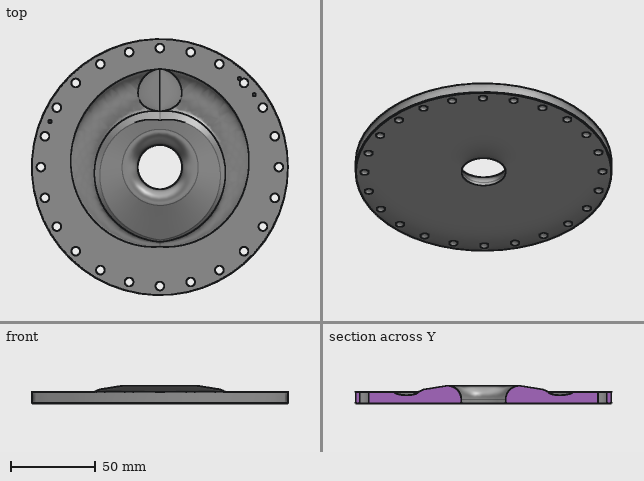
import cadquery as cq
import math

plate_diameter = 152.4
plate_thickness = 7.0
bottom_chamfer = 0.5

total_height = 10.7
bore_diameter = 26.2
lip_radius = 8.2
cone_angle = math.radians(9.1)
hub_base_radius = 48.8

bolt_circle_radius = 70.7
bolt_hole_diameter = 5.0
bolt_count = 24
pin_hole_diameter = 2.0
pin_hole_depth = 3
pin_hole_angles = (37.5, 48, 157.5)

crest_radii = (27.9, 43.1)
inner_radii = (33.0, 44.5)
outer_radii = (58.4, 47.4)
depth_to_half_width = 0.28
section_count = 9
cut_clearance = 1.5
flank_extension = 1.5

splitter_slope = 0.25
splitter_half_width = 13.7
splitter_start = 30.5
splitter_end = 61
splitter_base_height = 1.5

bore_radius = bore_diameter / 2
lip_center_radius = bore_radius + lip_radius
lip_center_height = total_height - lip_radius
cone_start_radius = lip_center_radius + lip_radius * math.sin(cone_angle)
cone_start_height = lip_center_height + lip_radius * math.cos(cone_angle)


def cone_height(radius):
    """Height of the hub cone at a distance from the axis."""
    return cone_start_height - (radius - cone_start_radius) * math.tan(cone_angle)


def make_body():
    """Plate and hub, with the lip arc tangent to the bore and to the cone."""
    plate = (
        cq.Workplane("XY")
        .circle(plate_diameter / 2)
        .circle(lip_center_radius)
        .extrude(plate_thickness)
        .faces("<Z")
        .edges(cq.selectors.RadiusNthSelector(-1))
        .chamfer(bottom_chamfer)
    )
    arc_middle_angle = (math.pi + math.pi / 2 - cone_angle) / 2
    lip_middle = (
        lip_center_radius + lip_radius * math.cos(arc_middle_angle),
        lip_center_height + lip_radius * math.sin(arc_middle_angle),
    )
    hub = (
        cq.Workplane("XZ")
        .moveTo(bore_radius, 0)
        .lineTo(bore_radius, lip_center_height)
        .threePointArc(lip_middle, (cone_start_radius, cone_start_height))
        .lineTo(hub_base_radius, cone_height(hub_base_radius))
        .lineTo(hub_base_radius, 0)
        .close()
        .revolve(360, (0, 0, 0), (0, 1, 0))
    )
    return plate.union(hub)


def spiral_radius(radii, fraction):
    """Radius that changes evenly with the angle along half a turn."""
    return radii[0] + (radii[1] - radii[0]) * fraction


def channel_section(fraction):
    """Radial cut section: sloped inner flank, half-elliptic floor, open top."""
    angle = math.pi * fraction
    crest = spiral_radius(crest_radii, fraction)
    inner = spiral_radius(inner_radii, fraction)
    outer = spiral_radius(outer_radii, fraction)
    half_width = (outer - inner) / 2
    radial_plane = cq.Plane(
        origin=(0, 0, 0),
        xDir=(math.sin(angle), math.cos(angle), 0),
        normal=(math.cos(angle), -math.sin(angle), 0),
    )
    floor_center = (inner + outer) / 2
    depth = half_width * depth_to_half_width
    flank_top_radius = inner + (crest - inner) * flank_extension
    flank_top_height = plate_thickness + (cone_height(crest) - plate_thickness) * flank_extension
    open_height = total_height + cut_clearance

    def to_world(radius, height):
        return radial_plane.toWorldCoords((radius, height))

    floor = cq.Edge.makeEllipse(
        half_width,
        depth,
        to_world(floor_center, plate_thickness),
        radial_plane.zDir,
        radial_plane.xDir,
        180,
        360,
    )
    corners = [
        to_world(outer, plate_thickness),
        to_world(outer, open_height),
        to_world(flank_top_radius, open_height),
        to_world(flank_top_radius, flank_top_height),
        to_world(inner, plate_thickness),
    ]
    sides = [cq.Edge.makeLine(a, b) for a, b in zip(corners, corners[1:])]
    return cq.Wire.assembleEdges([floor] + sides)


def make_half_channel():
    """Channel cutter from +Y round the +X side to -Y."""
    sections = [channel_section(i / (section_count - 1)) for i in range(section_count)]
    return cq.Workplane(cq.Solid.makeLoft(sections))


def make_splitter():
    """Ridge along Y whose two roof planes close the wide ends of the channel."""
    eave_height = plate_thickness - splitter_slope * splitter_half_width
    return (
        cq.Workplane("XZ", origin=(0, splitter_end, 0))
        .moveTo(-splitter_half_width, splitter_base_height)
        .lineTo(-splitter_half_width, eave_height)
        .lineTo(0, plate_thickness)
        .lineTo(splitter_half_width, eave_height)
        .lineTo(splitter_half_width, splitter_base_height)
        .close()
        .extrude(splitter_end - splitter_start)
    )


def make_bolt_holes():
    """Ring of through holes."""
    return (
        cq.Workplane("XY")
        .polarArray(bolt_circle_radius, 0, 360, bolt_count)
        .circle(bolt_hole_diameter / 2)
        .extrude(plate_thickness)
    )


def make_pin_holes():
    """Small blind holes sunk from the top of the plate."""
    centers = [
        (
            bolt_circle_radius * math.cos(math.radians(angle)),
            bolt_circle_radius * math.sin(math.radians(angle)),
        )
        for angle in pin_hole_angles
    ]
    return (
        cq.Workplane("XY", origin=(0, 0, plate_thickness))
        .pushPoints(centers)
        .circle(pin_hole_diameter / 2)
        .extrude(-pin_hole_depth)
    )


right_cutter = make_half_channel().cut(make_splitter())
channel_cutter = right_cutter.union(right_cutter.mirror("YZ"))

result = (
    make_body()
    .cut(channel_cutter)
    .cut(make_bolt_holes())
    .cut(make_pin_holes())
)